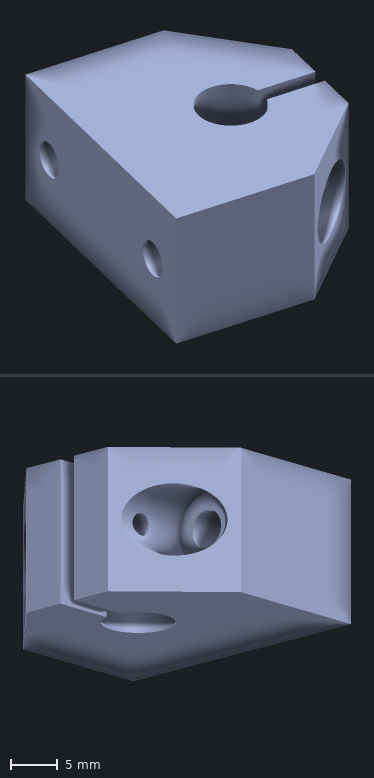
import cadquery as cq

width = 32.0
depth = 27.0
height = 16.0
corner_cut = 10.0

bore_diameter = 8.0
bore_y = 16.0
slot_width = 2.0

clamp_hole_diameter = 2.5
clamp_hole_y = depth - 4.0

mount_hole_diameter = 4.15
mount_hole_x = (width - corner_cut) / 2
counterbore_diameter = 8.0
counterbore_floor_y = depth - corner_cut


def cylinder_along_y(diameter, x, start_y):
    """Cylinder running from start_y to the back face at mid height."""
    return (
        cq.Workplane("XZ", origin=(x, start_y, 0))
        .circle(diameter / 2)
        .extrude(start_y - depth)
    )


body = (
    cq.Workplane("XY")
    .box(width, depth, height, centered=(True, False, True))
    .edges("|Z and >Y")
    .chamfer(corner_cut)
)

bore = cq.Workplane("XY").center(0, bore_y).circle(bore_diameter / 2).extrude(height / 2, both=True)
slot = cq.Workplane("XY").box(slot_width, depth - bore_y, height, centered=(True, False, True))
body = body.cut(bore).cut(slot.translate((0, bore_y, 0)))

clamp_hole = (
    cq.Workplane("YZ")
    .center(clamp_hole_y, 0)
    .circle(clamp_hole_diameter / 2)
    .extrude(width / 2, both=True)
)
body = body.cut(clamp_hole)

for x in (-mount_hole_x, mount_hole_x):
    body = body.cut(cylinder_along_y(mount_hole_diameter, x, 0))
    body = body.cut(cylinder_along_y(counterbore_diameter, x, counterbore_floor_y))

result = body